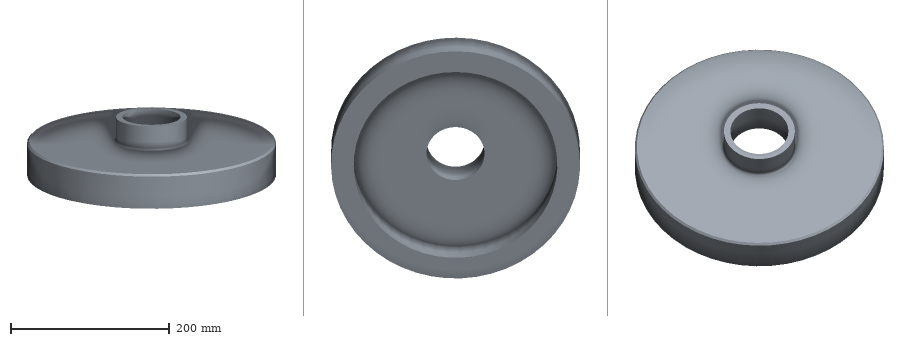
import cadquery as cq

disc_diameter = 315.0
disc_height = 44.7
total_height = 76.2
hub_diameter = 89.8
bore_diameter = 73.5
rim_chamfer = 2.5
recess_diameter = 257.5
recess_depth = 35.0
hub_fillet = 3.0

disc_radius = disc_diameter / 2
hub_radius = hub_diameter / 2

disc = cq.Workplane("XY").circle(disc_radius).extrude(disc_height)
disc = disc.faces(">Z").edges().chamfer(rim_chamfer)

hub = (
    cq.Workplane("XZ")
    .moveTo(0, 0)
    .lineTo(hub_radius + hub_fillet, 0)
    .lineTo(hub_radius + hub_fillet, disc_height)
    .radiusArc((hub_radius, disc_height + hub_fillet), hub_fillet)
    .lineTo(hub_radius, total_height)
    .lineTo(0, total_height)
    .close()
    .revolve(360, (0, 0, 0), (0, 1, 0))
)

bore = cq.Workplane("XY").circle(bore_diameter / 2).extrude(total_height)

recess = cq.Workplane("XY").circle(recess_diameter / 2).extrude(recess_depth)

result = disc.union(hub).cut(bore).cut(recess)